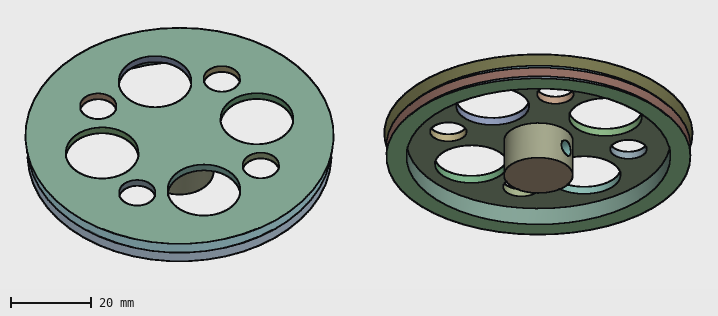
import cadquery as cq

rim_diameter = 76.2
total_height = 12.0

top_flank_height = 2.05
groove_flank_height = 1.5
rim_radius = rim_diameter / 2
root_radius = rim_radius - top_flank_height
crest_radius = root_radius + groove_flank_height
rim_height = top_flank_height + 3 * groove_flank_height

web_thickness = 2.05
recess_diameter = 65.2
hub_diameter = 17.0
hub_length = total_height - web_thickness

cross_hole_diameter = 4.0
cross_hole_z = -web_thickness - hub_length / 2

hole_count = 4
large_hole_diameter = 18.0
large_hole_pitch_radius = 20.0
small_hole_diameter = 9.0
small_hole_pitch_radius = 22.6
small_hole_start_angle = 45


def grooved_disc():
    """Solid disc revolved from the grooved half profile."""
    first_root_z = -top_flank_height
    crest_z = first_root_z - groove_flank_height
    second_root_z = crest_z - groove_flank_height
    profile = [
        (0, 0),
        (rim_radius, 0),
        (root_radius, first_root_z),
        (crest_radius, crest_z),
        (root_radius, second_root_z),
        (crest_radius, -rim_height),
        (0, -rim_height),
    ]
    return cq.Workplane("XZ").polyline(profile).close().revolve(360, (0, 0), (0, 1))


def underside_recess():
    """Cylinder removed from below the web."""
    recess_depth = rim_height - web_thickness
    return (
        cq.Workplane("XY")
        .workplane(offset=-rim_height)
        .circle(recess_diameter / 2)
        .extrude(recess_depth)
    )


def hub():
    """Hub below the web, drilled from the -Y side to the axis."""
    body = (
        cq.Workplane("XY")
        .workplane(offset=-total_height)
        .circle(hub_diameter / 2)
        .extrude(hub_length)
    )
    drill = (
        cq.Workplane("XZ")
        .center(0, cross_hole_z)
        .circle(cross_hole_diameter / 2)
        .extrude(hub_diameter / 2)
    )
    return body.cut(drill)


def hole_ring(diameter, pitch_radius, start_angle):
    """Evenly spaced cutters that pass through the web."""
    return (
        cq.Workplane("XY")
        .polarArray(pitch_radius, start_angle, 360, hole_count)
        .circle(diameter / 2)
        .extrude(-web_thickness)
    )


result = (
    grooved_disc()
    .cut(underside_recess())
    .union(hub())
    .cut(hole_ring(large_hole_diameter, large_hole_pitch_radius, 0))
    .cut(hole_ring(small_hole_diameter, small_hole_pitch_radius, small_hole_start_angle))
)